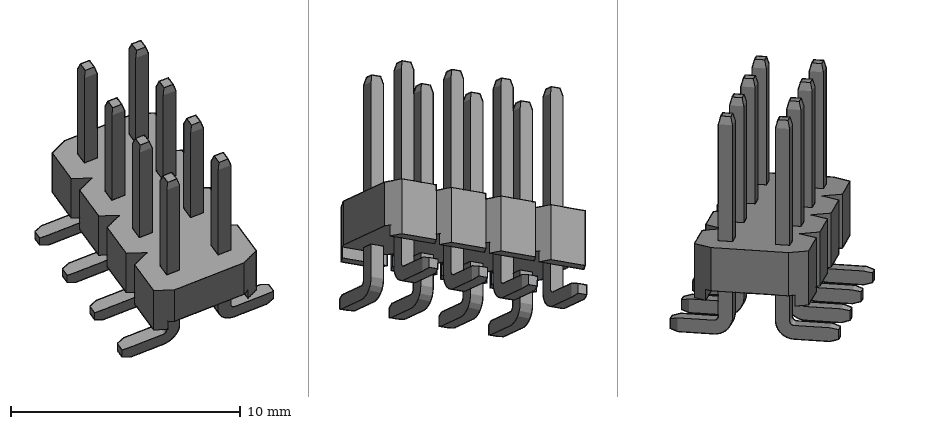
import cadquery as cq


pitch = 2.54
columns = 4
rows = 2

body_length = columns * pitch
body_width = rows * pitch
body_bottom = 1.83
body_height = 2.5
notch_depth = 0.82
notch_half_width = 0.39
channel_width = 3.96
channel_depth = 0.5

pin_size = 0.64
pin_top = 10.07
foot_span = 7.5
bend_inner_radius = 0.2
bend_outer_radius = bend_inner_radius + pin_size
tip_length = 0.37
tip_size = 0.45


def column_x(index):
    """X of a pin column."""
    return (index - (columns - 1) / 2) * pitch


def make_body():
    """Block with V notches between columns, bevelled corners and a channel underneath."""
    body = (
        cq.Workplane("XY")
        .workplane(offset=body_bottom)
        .rect(body_length, body_width)
        .extrude(body_height)
    )
    for boundary in range(columns + 1):
        x = boundary * pitch - body_length / 2
        for side in (-1, 1):
            notch = (
                cq.Workplane("XY")
                .workplane(offset=body_bottom)
                .moveTo(x - notch_half_width, side * body_width / 2)
                .lineTo(x + notch_half_width, side * body_width / 2)
                .lineTo(x, side * (body_width / 2 - notch_depth))
                .close()
                .extrude(body_height)
            )
            body = body.cut(notch)
    channel = (
        cq.Workplane("XY")
        .workplane(offset=body_bottom)
        .rect(body_length, channel_width)
        .extrude(channel_depth)
    )
    return body.cut(channel)


def make_tip(plane):
    """Square taper from the pin section down to the tip, along the plane's normal."""
    return (
        cq.Workplane(plane)
        .rect(pin_size, pin_size)
        .workplane(offset=tip_length)
        .rect(tip_size, tip_size)
        .loft(ruled=True, combine=True)
    )


def make_pin():
    """L-shaped pin of the +Y row at X = 0, its foot pointing to +Y."""
    pin_y = pitch / 2
    inner_face = pin_y - pin_size / 2
    outer_face = pin_y + pin_size / 2
    bend_y = outer_face + bend_inner_radius
    shaft_end = pin_top - tip_length
    foot_end = foot_span / 2 - tip_length

    bar = (
        cq.Workplane("YZ")
        .workplane(offset=-pin_size / 2)
        .moveTo(inner_face, shaft_end)
        .lineTo(inner_face, bend_outer_radius)
        .radiusArc((bend_y, 0), -bend_outer_radius)
        .lineTo(foot_end, 0)
        .lineTo(foot_end, pin_size)
        .lineTo(bend_y, pin_size)
        .radiusArc((outer_face, bend_outer_radius), bend_inner_radius)
        .lineTo(outer_face, shaft_end)
        .close()
        .extrude(pin_size)
    )
    upper_plane = cq.Plane(origin=(0, pin_y, shaft_end), xDir=(1, 0, 0), normal=(0, 0, 1))
    foot_plane = cq.Plane(origin=(0, foot_end, pin_size / 2), xDir=(1, 0, 0), normal=(0, 1, 0))
    return bar.union(make_tip(upper_plane)).union(make_tip(foot_plane))


back_pin = make_pin()
front_pin = back_pin.mirror("XZ")

result = make_body()
for column in range(columns):
    for pin in (front_pin, back_pin):
        result = result.union(pin.translate((column_x(column), 0, 0)))